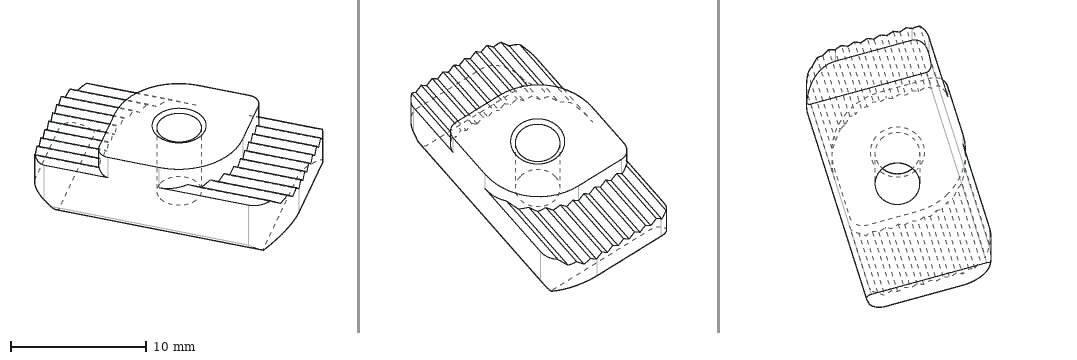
import cadquery as cq

LENGTH = 19.8
WIDTH = 9.9
HEIGHT = 6.3
SMALL_CORNER_RADIUS = 1.0
BODY_LARGE_RADIUS = 3.0
END_CHAMFER = 2.0
BOTTOM_FILLET = 0.5

TOOTH_COUNT = 10
TOOTH_PITCH = 1.0
TOOTH_DEPTH = TOOTH_PITCH / 2
TOOTH_TIP_Z = 4.8
TOOTH_ROOT_Z = TOOTH_TIP_Z - TOOTH_DEPTH

BOSS_SIZE = WIDTH
BOSS_LARGE_RADIUS = BOSS_SIZE / 2

HOLE_DIAMETER = 3.3
HOLE_OFFSET_Y = 0.1
COUNTERSINK_DIAMETER = 4.0
COUNTERSINK_ANGLE = 120


def rounded_prism(length, large_radius, height):
    """Prism with large radii at (-X, +Y) and (+X, -Y), small radii elsewhere."""
    x = length / 2
    y = WIDTH / 2
    small = SMALL_CORNER_RADIUS
    outline = (
        cq.Workplane("XY")
        .moveTo(-x + small, -y)
        .lineTo(x - large_radius, -y)
        .radiusArc((x, -y + large_radius), -large_radius)
        .lineTo(x, y - small)
        .radiusArc((x - small, y), -small)
        .lineTo(-x + large_radius, y)
        .radiusArc((-x, y - large_radius), -large_radius)
        .lineTo(-x, -y + small)
        .radiusArc((-x + small, -y), -small)
        .close()
    )
    return outline.extrude(height)


def end_envelope():
    """Block bevelled under both X ends."""
    bar = cq.Workplane("XY").box(LENGTH, WIDTH, HEIGHT, centered=(True, True, False))
    return bar.faces("<Z").edges("|Y").chamfer(END_CHAMFER)


def serrated_envelope():
    """Block with rounded long lower edges and a saw-tooth top face."""
    half_teeth_width = TOOTH_COUNT * TOOTH_PITCH / 2
    points = [(-half_teeth_width, TOOTH_ROOT_Z)]
    for i in range(TOOTH_COUNT):
        root_y = -half_teeth_width + i * TOOTH_PITCH
        points.append((root_y + TOOTH_PITCH / 2, TOOTH_TIP_Z))
        points.append((root_y + TOOTH_PITCH, TOOTH_ROOT_Z))
    points.append((half_teeth_width, 0))
    points.append((-half_teeth_width, 0))
    teeth = cq.Workplane("YZ").polyline(points).close().extrude(LENGTH / 2, both=True)
    bar = cq.Workplane("XY").box(LENGTH, WIDTH, HEIGHT, centered=(True, True, False))
    return teeth.intersect(bar.faces("<Z").edges("|X").fillet(BOTTOM_FILLET))


def make_body():
    prism = rounded_prism(LENGTH, BODY_LARGE_RADIUS, HEIGHT)
    return prism.intersect(end_envelope()).intersect(serrated_envelope())


def make_boss():
    """Boss sunk below the tooth roots so that it fills the valleys under it."""
    base_z = TOOTH_ROOT_Z - TOOTH_DEPTH
    boss = rounded_prism(BOSS_SIZE, BOSS_LARGE_RADIUS, HEIGHT - base_z)
    return boss.translate((0, 0, base_z))


def drill_hole(part):
    return (
        part.faces(">Z")
        .workplane(origin=(0, HOLE_OFFSET_Y, HEIGHT))
        .cskHole(HOLE_DIAMETER, COUNTERSINK_DIAMETER, COUNTERSINK_ANGLE)
    )


result = drill_hole(make_body().union(make_boss()))